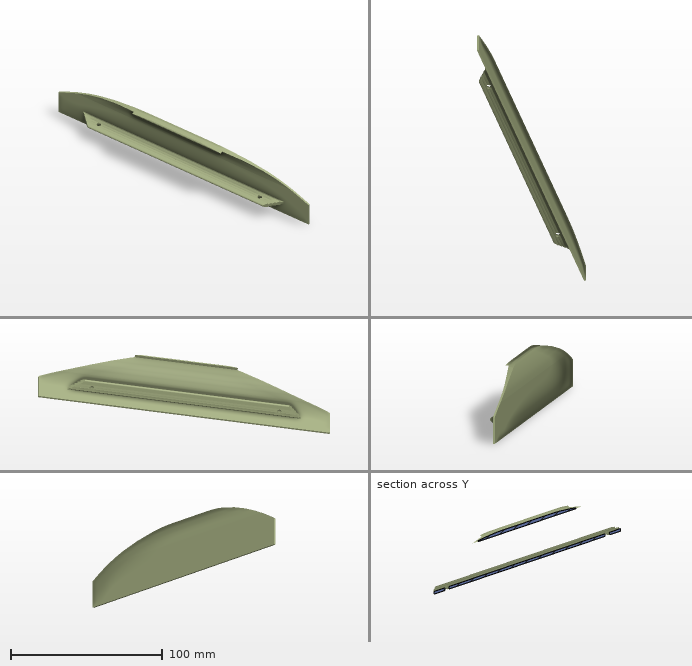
import cadquery as cq
import math

length = 196.0
depth = 11.5
height = 41.0
half_length = length / 2

plate_thickness = 1.25
bend_start_height = 25.0
lip_back_offset = 4.8
lip_reach = 10.0
lip_thickness = 1.2
lip_root_offset = 7.9
lip_nose_radius = 0.5

end_height = 18.0
crown_radius = 206.5
crown_blend_radius = 100.0

flange_height = 10.1
flange_half_width_at_plate = 78.5
flange_half_width_at_tip = 68.5
stem_half_thickness = 0.75
barb_half_thickness = 1.75
nose_half_thickness = 0.85
nose_length = 0.5
barb_offsets = [2.9, 5.3, 7.1, 8.9]

hole_diameter = 3.0
hole_spacing = 126.0
hole_offset = 6.4


def tangent_arc_middle(start_offset, end_offset, rise):
    """Middle (Y, Z) of an arc that leaves a vertical face and curls toward -Y."""
    run = end_offset - start_offset
    radius = (rise**2 + run**2) / (2 * run)
    half_angle = math.asin(rise / radius) / 2
    y = -start_offset - radius * (1 - math.cos(half_angle))
    z = bend_start_height + radius * math.sin(half_angle)
    return y, z


def make_curled_sheet():
    """Plate cross-section swept over the full length, before its crown is cut."""
    lip_bottom = height - lip_thickness
    front_middle = tangent_arc_middle(plate_thickness, lip_root_offset, lip_bottom - bend_start_height)
    back_middle = tangent_arc_middle(0, lip_back_offset, height - bend_start_height)
    return (
        cq.Workplane("YZ", origin=(-half_length, 0, 0))
        .moveTo(0, 0)
        .lineTo(-plate_thickness, 0)
        .lineTo(-plate_thickness, bend_start_height)
        .threePointArc(front_middle, (-lip_root_offset, lip_bottom))
        .lineTo(-lip_reach, lip_bottom)
        .lineTo(-lip_reach, height - lip_nose_radius)
        .radiusArc((-lip_reach + lip_nose_radius, height), lip_nose_radius)
        .lineTo(-lip_back_offset, height)
        .threePointArc(back_middle, (0, bend_start_height))
        .close()
        .extrude(length)
    )


def make_crown_outline():
    """Front outline: a large crown arc blended at both sides into a flat top."""
    crown_centre_z = end_height - math.sqrt(crown_radius**2 - half_length**2)
    blend_centre_z = height - crown_blend_radius
    centre_distance = crown_radius - crown_blend_radius
    blend_angle = math.acos((blend_centre_z - crown_centre_z) / centre_distance)
    blend_centre_x = centre_distance * math.sin(blend_angle)
    end_angle = math.asin(half_length / crown_radius)

    def on_crown(side, angle):
        x = side * crown_radius * math.sin(angle)
        return x, crown_centre_z + crown_radius * math.cos(angle)

    def on_blend(side, angle):
        x = side * (blend_centre_x + crown_blend_radius * math.sin(angle))
        return x, blend_centre_z + crown_blend_radius * math.cos(angle)

    crown_middle_angle = (blend_angle + end_angle) / 2
    return (
        cq.Workplane("XZ")
        .moveTo(-half_length, 0)
        .lineTo(-half_length, end_height)
        .threePointArc(on_crown(-1, crown_middle_angle), on_crown(-1, blend_angle))
        .threePointArc(on_blend(-1, blend_angle / 2), on_blend(-1, 0))
        .lineTo(*on_blend(1, 0))
        .threePointArc(on_blend(1, blend_angle / 2), on_blend(1, blend_angle))
        .threePointArc(on_crown(1, crown_middle_angle), (half_length, end_height))
        .lineTo(half_length, 0)
        .close()
        .extrude(depth)
    )


def make_barbed_flange():
    """Barbed bar with slanted ends, rooted in the plate and pierced by two holes."""
    upper_edge = [(-plate_thickness / 2, stem_half_thickness)]
    for offset in barb_offsets:
        upper_edge.append((-offset, stem_half_thickness))
        upper_edge.append((-offset, barb_half_thickness))
    nose_start = depth - nose_length
    lower_edge = [(y, -z) for y, z in upper_edge]
    bar = (
        cq.Workplane("YZ", origin=(-half_length, 0, flange_height))
        .polyline(upper_edge)
        .lineTo(-nose_start, nose_half_thickness)
        .threePointArc((-depth, 0), (-nose_start, -nose_half_thickness))
        .polyline(lower_edge[::-1], includeCurrent=True)
        .close()
        .extrude(length)
    )
    plan = (
        cq.Workplane("XY")
        .moveTo(-flange_half_width_at_plate, 0)
        .lineTo(-flange_half_width_at_plate, -plate_thickness)
        .lineTo(-flange_half_width_at_tip, -depth)
        .lineTo(flange_half_width_at_tip, -depth)
        .lineTo(flange_half_width_at_plate, -plate_thickness)
        .lineTo(flange_half_width_at_plate, 0)
        .close()
        .extrude(height)
    )
    holes = (
        cq.Workplane("XY")
        .pushPoints([(side * hole_spacing / 2, -hole_offset) for side in (-1, 1)])
        .circle(hole_diameter / 2)
        .extrude(height)
    )
    return bar.intersect(plan).cut(holes)


plate = make_curled_sheet().intersect(make_crown_outline())
result = plate.union(make_barbed_flange())